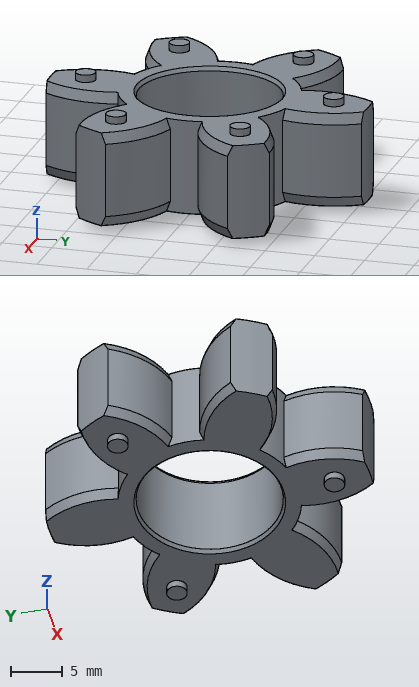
import cadquery as cq
import math

overall_height = 11.0
body_height = 9.5
hub_radius = 8.85
bore_radius = 7.1
bore_chamfer_width = 0.22
bore_chamfer_height = 0.4

tooth_count = 6
tip_radius = 16.0
tip_half_width = 2.08
tooth_half_width = 3.52
flank_radius = 9.6
flank_chamfer_width = 0.4
flank_chamfer_height = 1.05

pin_radius = 1.0
pin_height = (overall_height - body_height) / 2
pin_circle_radius = 12.48
first_tooth_angle = 30.0
first_lower_pin_angle = 30.0
tooth_pitch = 360.0 / tooth_count

flank_center_offset = flank_radius - tooth_half_width
tip_corner_distance = math.sqrt(tip_radius**2 - tip_half_width**2)
flank_center_distance = tip_corner_distance - math.sqrt(
    flank_radius**2 - (tip_half_width + flank_center_offset) ** 2
)


def cylinder(radius):
    """Cylinder as tall as the body, centred on the origin."""
    return cq.Workplane("XY").circle(radius).extrude(body_height / 2, both=True)


def turned_body(radius, end_radius, taper_height):
    """Cylinder as tall as the body, tapering to end_radius at both ends."""
    half_height = body_height / 2
    straight_half = half_height - taper_height
    return (
        cq.Workplane("XZ")
        .moveTo(0, -half_height)
        .lineTo(end_radius, -half_height)
        .lineTo(radius, -straight_half)
        .lineTo(radius, straight_half)
        .lineTo(end_radius, half_height)
        .lineTo(0, half_height)
        .close()
        .revolve(360, (0, 0), (0, 1))
    )


def make_flank(side):
    """Flank cylinder with chamfered rims, bulging outwards along +Y or -Y."""
    flank = turned_body(flank_radius, flank_radius - flank_chamfer_width, flank_chamfer_height)
    return flank.translate((flank_center_distance, -side * flank_center_offset, 0))


def make_tooth():
    """Tooth pointing along +X, rooted inside the hub."""
    lens = make_flank(1).intersect(make_flank(-1))
    return lens.intersect(cylinder(tip_radius))


def make_bore():
    """Through bore with a conical countersink at each end."""
    return turned_body(bore_radius, bore_radius + bore_chamfer_width, bore_chamfer_height)


def make_pins(count, first_angle, side):
    """Evenly spaced pins on the top (side 1) or bottom (side -1) face."""
    return (
        cq.Workplane("XY", origin=(0, 0, side * body_height / 2))
        .polarArray(pin_circle_radius, first_angle, 360, count)
        .circle(pin_radius)
        .extrude(side * pin_height)
    )


spider = cylinder(hub_radius)
tooth = make_tooth()
for index in range(tooth_count):
    angle = first_tooth_angle + index * tooth_pitch
    spider = spider.union(tooth.rotate((0, 0, 0), (0, 0, 1), angle))

spider = spider.cut(make_bore())
spider = spider.union(make_pins(tooth_count, first_tooth_angle, 1))
result = spider.union(make_pins(tooth_count // 2, first_lower_pin_angle, -1))